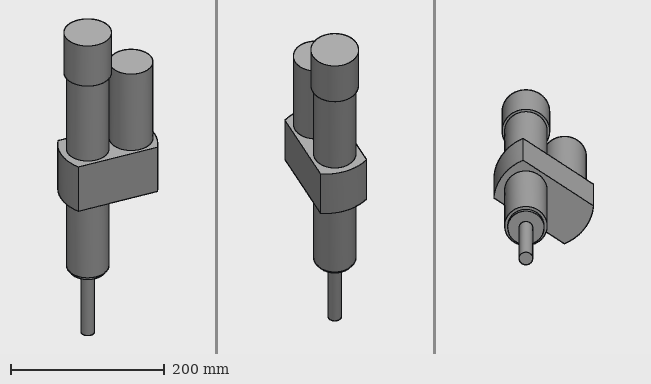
import cadquery as cq


rod_diameter = 18.0
rod_length = 99.5

collar_diameter = 47.5
collar_length = 5.5

tube_diameter = 55.5
lower_tube_length = 115.0

total_height = 475
cap_diameter = 62.0
cap_length = 63.5

block_diameter = 130.5
block_width = 66.0
block_height = 70.5
block_center_y = 28.5

motor_diameter = 57.0
motor_axis_y = 61.8

collar_bottom = rod_length
tube_bottom = collar_bottom + collar_length
block_bottom = tube_bottom + lower_tube_length
block_top = block_bottom + block_height
cap_bottom = total_height - cap_length
motor_top = cap_bottom


def cylinder(diameter, bottom, top, axis_y=0):
    """Upright cylinder between two levels, with its axis at x = 0."""
    return (
        cq.Workplane("XY", origin=(0, axis_y, bottom))
        .circle(diameter / 2)
        .extrude(top - bottom)
    )


def make_gear_block():
    """Round block cut to block_width by flats on its -X and +X sides."""
    round_block = cylinder(block_diameter, block_bottom, block_top, block_center_y)
    flat_limits = (
        cq.Workplane("XY", origin=(0, block_center_y, block_bottom))
        .rect(block_width, block_diameter)
        .extrude(block_height)
    )
    return round_block.intersect(flat_limits)


def make_housing():
    """Gear block, spindle tube with collar and cap, and motor as one body."""
    collar = cylinder(collar_diameter, collar_bottom, tube_bottom)
    tube = cylinder(tube_diameter, tube_bottom, cap_bottom)
    cap = cylinder(cap_diameter, cap_bottom, total_height)
    motor = cylinder(motor_diameter, block_top, motor_top, motor_axis_y)
    return make_gear_block().union(tube).union(collar).union(cap).union(motor)


def make_piston_rod():
    """Plain round rod that meets the lower face of the collar."""
    return cylinder(rod_diameter, 0, collar_bottom)


housing = make_housing()
piston_rod = make_piston_rod()

result = cq.Compound.makeCompound([housing.val(), piston_rod.val()])